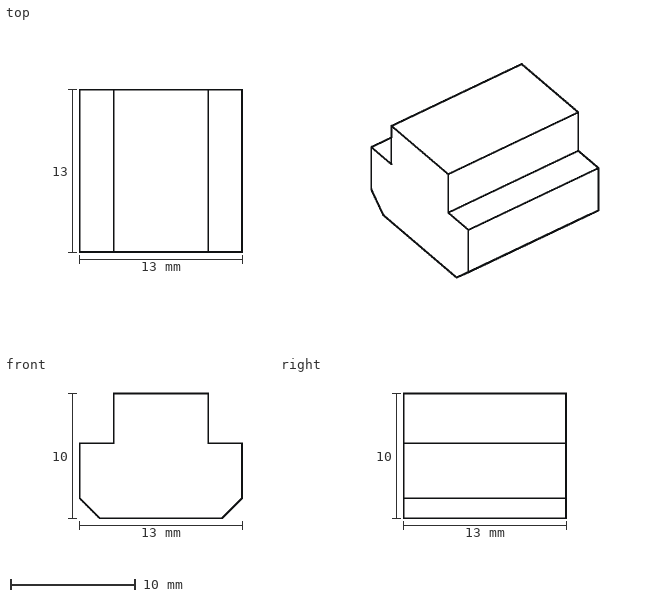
import cadquery as cq

width = 13.0
length = 13.0
height = 10.0

neck_width = 7.58
flange_height = 6.0
chamfer = 1.6

flange = (
    cq.Workplane("XY")
    .box(width, length, flange_height, centered=(True, True, False))
    .edges("|Y and <Z")
    .chamfer(chamfer)
)

neck = (
    cq.Workplane("XY")
    .workplane(offset=flange_height)
    .box(neck_width, length, height - flange_height, centered=(True, True, False))
)

result = flange.union(neck)